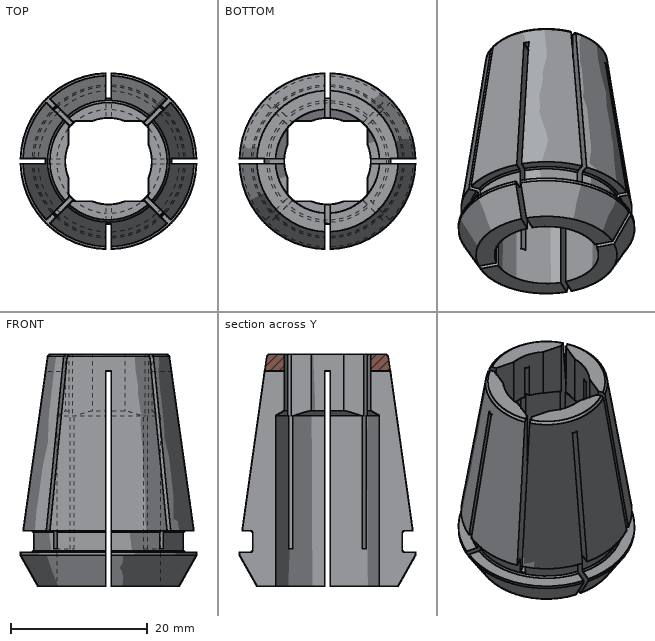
import cadquery as cq
import math

height = 34.0
flange_diameter = 25.8
flange_radius = flange_diameter / 2
nose_radius = 10.35
flange_base_z = 4.55
flange_top_z = 5.0

groove_radius = 10.98
groove_top_z = 8.13
groove_corner_size = 0.25

taper_large_radius = 12.5
taper_half_angle = math.radians(8)
top_chamfer = 0.35
chamfer_base_z = height - top_chamfer
taper_small_radius = taper_large_radius - (chamfer_base_z - groove_top_z) * math.tan(taper_half_angle)

bore_radius = 7.6
bore_depth = 25.0
drill_half_angle = math.radians(60)
square_side = 11.7
square_relief_radius = 6.32

slot_width = 0.75
slot_length = 3 * flange_radius
axial_slot_top_z = 31.5
diagonal_slot_floor_z = 5.5


def make_body():
    """Turned outside shape, solid to the axis."""
    outline = (
        cq.Workplane("XZ")
        .lineTo(nose_radius, 0)
        .lineTo(flange_radius, flange_base_z)
        .lineTo(flange_radius, flange_top_z)
        .lineTo(groove_radius + groove_corner_size, flange_top_z)
        .lineTo(groove_radius, flange_top_z + groove_corner_size)
        .lineTo(groove_radius, groove_top_z - groove_corner_size)
        .lineTo(groove_radius + groove_corner_size, groove_top_z)
        .lineTo(taper_large_radius, groove_top_z)
        .lineTo(taper_small_radius, chamfer_base_z)
        .lineTo(taper_small_radius - top_chamfer, height)
        .lineTo(0, height)
        .close()
    )
    return outline.revolve(360, (0, 0), (0, 1))


def make_shank_bore():
    """Round bore from the bottom with its conical end."""
    tip_z = bore_depth + bore_radius / math.tan(drill_half_angle)
    outline = (
        cq.Workplane("XZ")
        .lineTo(bore_radius, 0)
        .lineTo(bore_radius, bore_depth)
        .lineTo(0, tip_z)
        .close()
    )
    return outline.revolve(360, (0, 0), (0, 1))


def make_drive_hole():
    """Square hole from the top with its sides relieved by a circle."""
    depth = height - bore_depth
    start = cq.Workplane("XY").workplane(offset=bore_depth)
    square = start.rect(square_side, square_side).extrude(depth)
    relief = start.circle(square_relief_radius).extrude(depth)
    return square.union(relief)


def make_slot(angle, bottom_z, top_z):
    """Slot through the whole diameter, turned about the axis by an angle in degrees."""
    return (
        cq.Workplane("XY")
        .workplane(offset=bottom_z)
        .rect(slot_length, slot_width)
        .extrude(top_z - bottom_z)
        .rotate((0, 0, 0), (0, 0, 1), angle)
    )


result = make_body().cut(make_shank_bore()).cut(make_drive_hole())

for axial_angle in (0, 90):
    result = result.cut(make_slot(axial_angle, 0, axial_slot_top_z))

for diagonal_angle in (45, 135):
    result = result.cut(make_slot(diagonal_angle, diagonal_slot_floor_z, height))